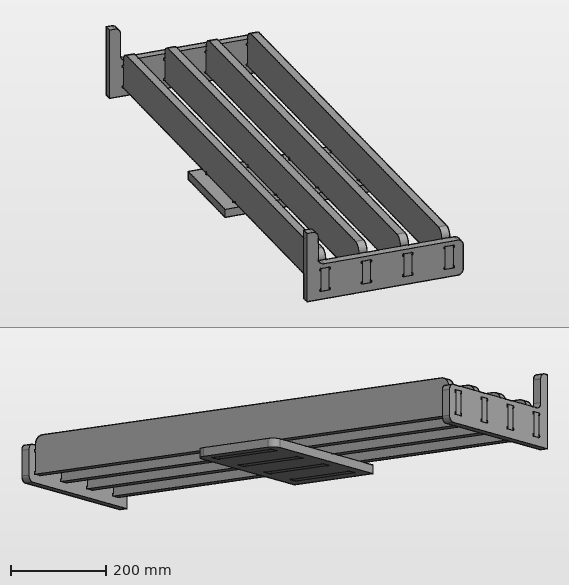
import cadquery as cq

LENGTH = 1103.0
DEPTH = 355.0
HEIGHT = 159.0
STOCK = 19.0

SIDE_HEIGHT = 82.0
POST_DEPTH = 25.0
SIDE_CORNER_RADIUS = 13.0

SLAT_COUNT = 4
FRONT_MARGIN = 41.0
BACK_MARGIN = 32.0
SLAT_HEIGHT = 83.0
SLAT_TOP_RADIUS = 19.0
END_TENON_HEIGHT = 53.0
FOOT_TENON_LENGTH = 153.0

PLATE_WIDTH = 203.0
PLATE_CORNER_RADIUS = 19.0

RELIEF_RADIUS = 2.8

SLAT_LENGTH = LENGTH - 2 * STOCK
SLAT_BOTTOM = STOCK
SLAT_PITCH = (DEPTH - FRONT_MARGIN - BACK_MARGIN) / (SLAT_COUNT - 1)
SLAT_POSITIONS = [FRONT_MARGIN + i * SLAT_PITCH for i in range(SLAT_COUNT)]


def box(x_size, y_size, z_size, x, y, z):
    """Box centred on x and y, standing on height z."""
    return cq.Workplane("XY").box(x_size, y_size, z_size, centered=(True, True, False)).translate((x, y, z))


def make_slat(y):
    """Slat with a tenon at each end and one below, centred on depth y."""
    slat = box(SLAT_LENGTH, STOCK, SLAT_HEIGHT, 0, y, SLAT_BOTTOM)
    slat = slat.edges("|Y and >Z").fillet(SLAT_TOP_RADIUS)
    slat = slat.union(box(LENGTH, STOCK, END_TENON_HEIGHT, 0, y, SLAT_BOTTOM))
    slat = slat.union(box(FOOT_TENON_LENGTH, STOCK, STOCK, 0, y, 0))
    relief_x = FOOT_TENON_LENGTH / 2 + RELIEF_RADIUS
    reliefs = (
        cq.Workplane("XZ", origin=(0, y, SLAT_BOTTOM))
        .pushPoints([(-relief_x, 0), (relief_x, 0)])
        .circle(RELIEF_RADIUS)
        .extrude(STOCK, both=True)
    )
    return slat.cut(reliefs)


def make_end_plate(side):
    """L-shaped end plate on the side -1 (left) or +1 (right), with a mortise for each slat."""
    x_centre = side * (LENGTH - STOCK) / 2
    outline = [(0, 0), (DEPTH, 0), (DEPTH, SIDE_HEIGHT), (POST_DEPTH, SIDE_HEIGHT),
               (POST_DEPTH, HEIGHT), (0, HEIGHT)]
    plate = (
        cq.Workplane("YZ", origin=(x_centre - STOCK / 2, 0, 0))
        .polyline(outline)
        .close()
        .extrude(STOCK)
    )

    rounded_corners = [(DEPTH, 0), (DEPTH, SIDE_HEIGHT), (POST_DEPTH, SIDE_HEIGHT), (POST_DEPTH, HEIGHT)]
    for y, z in rounded_corners:
        corner_edge = cq.selectors.NearestToPointSelector((x_centre, y, z))
        plate = plate.edges(corner_edge).fillet(SIDE_CORNER_RADIUS)

    for y in SLAT_POSITIONS:
        plate = plate.cut(box(STOCK, STOCK, END_TENON_HEIGHT, x_centre, y, SLAT_BOTTOM))
        reliefs = (
            cq.Workplane("YZ", origin=(x_centre, y, SLAT_BOTTOM + END_TENON_HEIGHT / 2))
            .rect(STOCK, END_TENON_HEIGHT - 2 * RELIEF_RADIUS, forConstruction=True)
            .vertices()
            .circle(RELIEF_RADIUS)
            .extrude(STOCK, both=True)
        )
        plate = plate.cut(reliefs)
    return plate


def make_mounting_plate():
    """Flat plate under the slats, with a mortise for each lower tenon."""
    plate = box(PLATE_WIDTH, DEPTH, STOCK, 0, DEPTH / 2, 0)
    plate = plate.edges("|Z and >Y").fillet(PLATE_CORNER_RADIUS)
    for y in SLAT_POSITIONS:
        plate = plate.cut(box(FOOT_TENON_LENGTH, STOCK, STOCK, 0, y, 0))
        reliefs = (
            cq.Workplane("XY", origin=(0, y, 0))
            .rect(FOOT_TENON_LENGTH - 2 * RELIEF_RADIUS, STOCK, forConstruction=True)
            .vertices()
            .circle(RELIEF_RADIUS)
            .extrude(STOCK)
        )
        plate = plate.cut(reliefs)
    return plate


slats = [make_slat(y) for y in SLAT_POSITIONS]
end_plates = [make_end_plate(side) for side in (-1, 1)]
mounting_plate = make_mounting_plate()

result = cq.Compound.makeCompound(
    [slat.val() for slat in slats]
    + [end_plate.val() for end_plate in end_plates]
    + [mounting_plate.val()]
)